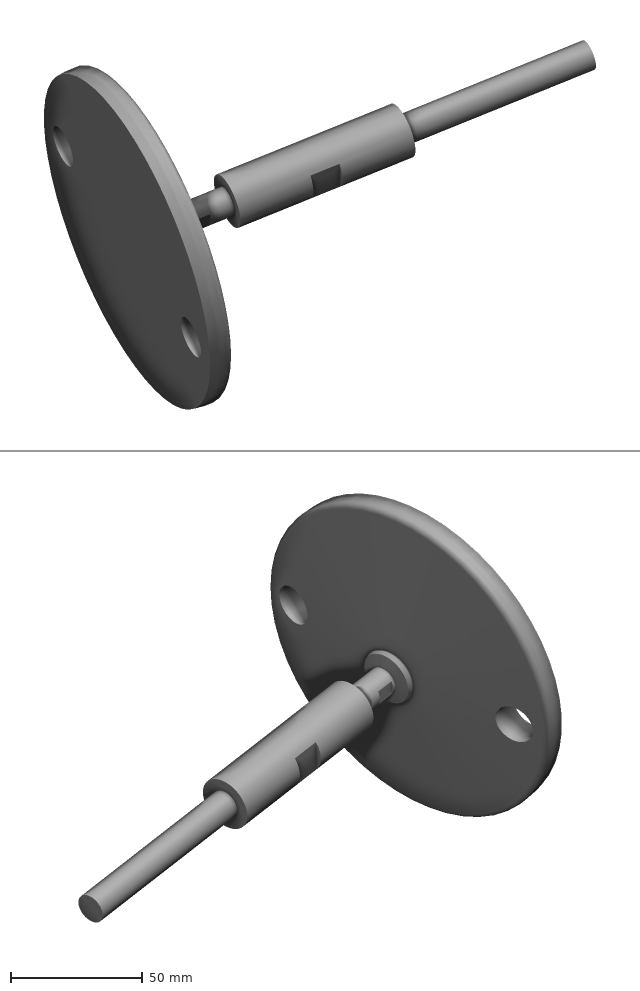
import cadquery as cq
import math

foot_diameter = 138.0
foot_radius = foot_diameter / 2
underside_radius = 68.5
taper_height = 4.0
rim_top = 7.1
cone_base_radius = 66.5
cone_base_height = 9.7
foot_top_radius = 10.7
foot_height = 19.2

hole_diameter = 16.5
hole_offset = 52.7
hole_reach = 39.6

total_length = 198.0
rod_radius = 12.0 / 2
sleeve_radius = 22.0 / 2
sleeve_length = 75.0
sleeve_bottom = 43.0
sleeve_top = sleeve_bottom + sleeve_length
collar_radius = 11.5
collar_edge_height = 20.5
collar_shoulder_radius = 10.9
collar_shoulder_height = 22.2
collar_top_radius = 6.3
collar_top = 24.0

sleeve_flat_width = 17.0
sleeve_flat_length = 12.5
sleeve_flat_center = (sleeve_bottom + sleeve_top) / 2
rod_flat_width = 10.0
rod_flat_bottom = 25.1
rod_flat_length = 8.0
rod_flat_center = rod_flat_bottom + rod_flat_length / 2


def revolve_about_y(profile):
    """Close a half profile and turn it around the Y axis."""
    return profile.close().revolve(360, (0, 0, 0), (0, 1, 0))


def bolt_hole(side):
    """Tilted drill for the hole on the given X side (-1 or +1)."""
    tilt = math.atan2(foot_height - cone_base_height, cone_base_radius - foot_top_radius)
    axis = cq.Vector(side * math.sin(tilt), math.cos(tilt), 0)
    start = cq.Vector(side * hole_offset, 0, 0) - axis * hole_reach
    return cq.Solid.makeCylinder(hole_diameter / 2, 2 * hole_reach, start, axis)


def make_foot():
    rounding_drop = cone_base_height - rim_top
    rounding_inset = foot_radius - cone_base_radius
    diagonal = math.sqrt(0.5)
    rounding_middle = (
        cone_base_radius + rounding_inset * diagonal,
        rim_top + rounding_drop * diagonal,
    )
    profile = (
        cq.Workplane("XY")
        .lineTo(underside_radius, 0)
        .lineTo(foot_radius, taper_height)
        .lineTo(foot_radius, rim_top)
        .threePointArc(rounding_middle, (cone_base_radius, cone_base_height))
        .lineTo(foot_top_radius, foot_height)
        .lineTo(0, foot_height)
    )
    foot = revolve_about_y(profile)
    for side in (-1, 1):
        foot = foot.cut(cq.Workplane(bolt_hole(side)))
    return foot


def cut_flats(body, radius, width, length, center):
    """Cut a pair of flats into a round section, leaving the given width between them."""
    depth = radius - width / 2
    for side in (-1, 1):
        cutter = cq.Workplane("XY").box(depth, length, 2 * radius)
        body = body.cut(cutter.translate((side * (radius - depth / 2), center, 0)))
    return body


def make_spindle():
    profile = (
        cq.Workplane("XY")
        .moveTo(0, foot_height)
        .lineTo(foot_top_radius, foot_height)
        .lineTo(collar_radius, collar_edge_height)
        .lineTo(collar_shoulder_radius, collar_shoulder_height)
        .lineTo(collar_top_radius, collar_top)
        .lineTo(rod_radius, collar_top)
        .lineTo(rod_radius, sleeve_bottom)
        .lineTo(sleeve_radius, sleeve_bottom)
        .lineTo(sleeve_radius, sleeve_top)
        .lineTo(rod_radius, sleeve_top)
        .lineTo(rod_radius, total_length)
        .lineTo(0, total_length)
    )
    spindle = revolve_about_y(profile)
    spindle = cut_flats(spindle, sleeve_radius, sleeve_flat_width, sleeve_flat_length, sleeve_flat_center)
    spindle = cut_flats(spindle, rod_radius, rod_flat_width, rod_flat_length, rod_flat_center)
    return spindle


foot = make_foot()
spindle = make_spindle()

result = cq.Compound.makeCompound([foot.val(), spindle.val()])